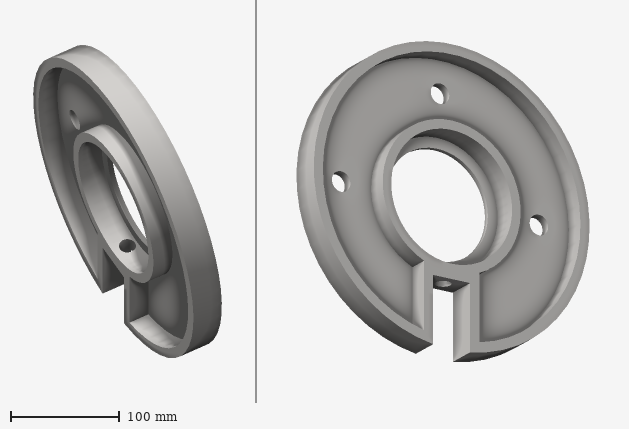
import cadquery as cq

outer_diameter = 299.5
thickness = 30.0
wall = 10.0
floor = 10.0
hub_diameter = 149.7
seat_diameter = 131.0
seat_floor = 5.0
bore_diameter = 110.0
slot_width = 40.0
slot_top = -80.5
bolt_hole_diameter = 20.0
bolt_circle_radius = (outer_diameter / 2 - wall + hub_diameter / 2) / 2
radial_hole_diameter = 15.5

front_y = -thickness / 2
slot_wall_width = slot_width + 2 * wall
pocket_depth = thickness - floor
seat_depth = thickness - seat_floor


def disc(diameter, depth, x=0, z=0):
    """Cylinder running from the open face toward +Y."""
    return cq.Workplane("XZ", origin=(x, front_y, z)).circle(diameter / 2).extrude(-depth)


def downward_block(width, depth, top_z):
    """Block centred on X, from top_z to the bottom of the disc, starting at the open face."""
    height = outer_diameter / 2 + top_z
    return cq.Workplane("XY").box(width, depth, height, centered=(True, False, False)).translate(
        (0, front_y, -outer_diameter / 2)
    )


pocket = (
    disc(outer_diameter - 2 * wall, pocket_depth)
    .cut(disc(hub_diameter, pocket_depth))
    .cut(downward_block(slot_wall_width, pocket_depth, 0))
)
body = disc(outer_diameter, thickness).cut(pocket)

body = body.cut(disc(seat_diameter, seat_depth))
body = body.cut(disc(bore_diameter, thickness))

body = body.cut(downward_block(slot_width, thickness, slot_top))

for x, z in ((-bolt_circle_radius, 0), (bolt_circle_radius, 0), (0, bolt_circle_radius)):
    body = body.cut(disc(bolt_hole_diameter, thickness, x, z))

radial_hole = cq.Workplane("XY", origin=(0, 0, slot_top)).circle(radial_hole_diameter / 2).extrude(-slot_top)
result = body.cut(radial_hole)